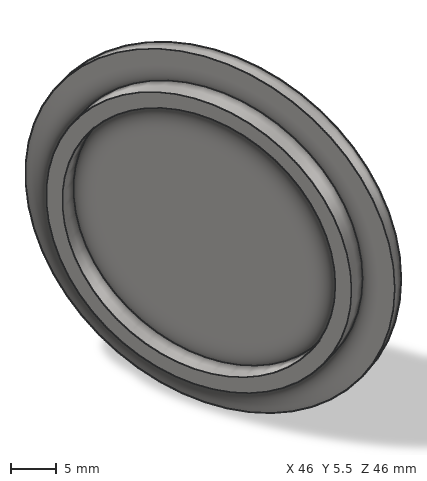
import cadquery as cq

flange_diameter = 46.0
total_depth = 5.5
flange_thickness = 3.0
edge_radius = 2.0
rim_outer_diameter = 38.0
rim_inner_diameter = 34.0

rim_height = total_depth - flange_thickness

flange_back = flange_thickness / 2
flange_front = -flange_thickness / 2
flange = (
    cq.Workplane("XZ", origin=(0, flange_back, 0))
    .circle(flange_diameter / 2)
    .extrude(flange_thickness)
    .faces(">Y")
    .edges()
    .fillet(edge_radius)
)

rim = (
    cq.Workplane("XZ", origin=(0, flange_front, 0))
    .circle(rim_outer_diameter / 2)
    .circle(rim_inner_diameter / 2)
    .extrude(rim_height)
)

result = flange.union(rim)